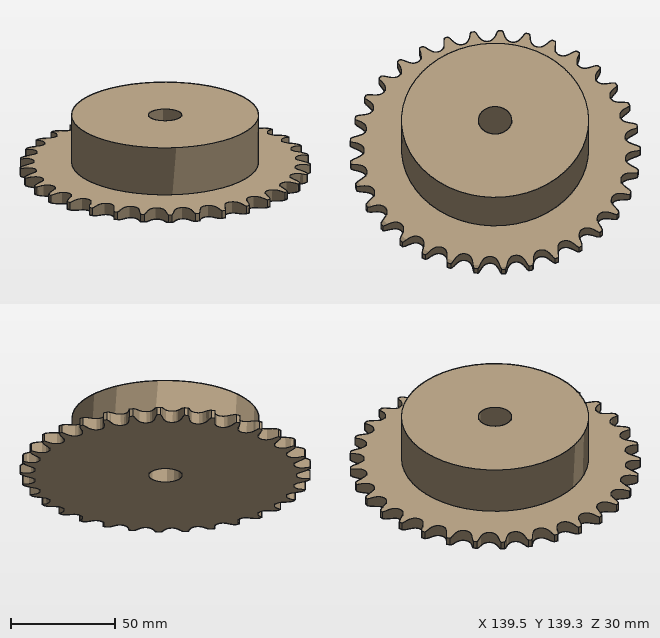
import cadquery as cq
import math

TOOTH_COUNT = 33
CHAIN_PITCH = 12.7
ROLLER_DIAMETER = 7.7
SEAT_CLEARANCE = 0.04
OVERALL_WIDTH = 139.5
TIP_WIDTH = 1.8
PLATE_THICKNESS = 5.9
FLAT_FACE_RADIUS = 64.2
SIDE_RELIEF = 1.0
TOTAL_HEIGHT = 30.0
HUB_DIAMETER = 90.0
BORE_DIAMETER = 16.0
FIRST_GAP_ANGLE = 90

WORKING_CENTRE_RATIO = 0.8
TOPPING_CENTRE_RATIO = 1.4
SEAT_ANGLE = math.radians(35 + 60 / TOOTH_COUNT)
WORKING_SWEEP = math.radians(18 - 56 / TOOTH_COUNT)

HALF_TOOTH_ANGLE = math.pi / TOOTH_COUNT
TIP_CORNER_ANGLE = HALF_TOOTH_ANGLE / 2 - TIP_WIDTH / OVERALL_WIDTH
TIP_RADIUS = OVERALL_WIDTH / 2 / math.cos(TIP_CORNER_ANGLE)
PITCH_RADIUS = CHAIN_PITCH / 2 / math.sin(HALF_TOOTH_ANGLE)
SEAT_RADIUS = ROLLER_DIAMETER / 2 + SEAT_CLEARANCE


def flank_point(centre, radius, angle):
    """Point on a curve around `centre`; `angle` turns from +Y towards the sprocket axis."""
    return (
        centre[0] - radius * math.sin(angle),
        centre[1] + radius * math.cos(angle),
    )


def mirrored(point):
    return (point[0], -point[1])


def relieved_blank():
    """Disc whose rim is thinned on both faces by arcs tangent to the flat faces."""
    relief_width = TIP_RADIUS - FLAT_FACE_RADIUS
    arc_radius = (relief_width**2 + SIDE_RELIEF**2) / (2 * SIDE_RELIEF)
    half_sweep = math.asin(relief_width / arc_radius) / 2
    mid_radius = FLAT_FACE_RADIUS + arc_radius * math.sin(half_sweep)
    mid_drop = arc_radius * (1 - math.cos(half_sweep))
    return (
        cq.Workplane("XZ")
        .lineTo(FLAT_FACE_RADIUS, 0)
        .threePointArc((mid_radius, mid_drop), (TIP_RADIUS, SIDE_RELIEF))
        .lineTo(TIP_RADIUS, PLATE_THICKNESS - SIDE_RELIEF)
        .threePointArc(
            (mid_radius, PLATE_THICKNESS - mid_drop),
            (FLAT_FACE_RADIUS, PLATE_THICKNESS),
        )
        .lineTo(0, PLATE_THICKNESS)
        .close()
        .revolve(360, (0, 0, 0), (0, 1, 0))
    )


def tooth_gap():
    """Cutter for the gap on the +X axis: seat, working curves, short flats, topping curves."""
    roller_centre = (PITCH_RADIUS, 0)
    flat_angle = SEAT_ANGLE - WORKING_SWEEP

    seat_bottom = (PITCH_RADIUS - SEAT_RADIUS, 0)
    seat_end = flank_point(roller_centre, SEAT_RADIUS, SEAT_ANGLE)

    working_offset = WORKING_CENTRE_RATIO * ROLLER_DIAMETER
    working_centre = flank_point(roller_centre, -working_offset, SEAT_ANGLE)
    working_radius = working_offset + SEAT_RADIUS
    working_mid = flank_point(working_centre, working_radius, SEAT_ANGLE - WORKING_SWEEP / 2)
    working_end = flank_point(working_centre, working_radius, flat_angle)

    topping_offset = TOPPING_CENTRE_RATIO * ROLLER_DIAMETER
    topping_centre = flank_point(roller_centre, topping_offset, HALF_TOOTH_ANGLE)
    topping_radius = (
        (working_end[0] - topping_centre[0]) * math.sin(flat_angle)
        + (topping_centre[1] - working_end[1]) * math.cos(flat_angle)
    )
    topping_start = flank_point(topping_centre, -topping_radius, flat_angle)

    point_height = math.sqrt(topping_radius**2 - (topping_offset - CHAIN_PITCH / 2) ** 2)
    point_radius = PITCH_RADIUS * math.cos(HALF_TOOTH_ANGLE) + point_height
    topping_end = (
        point_radius * math.cos(HALF_TOOTH_ANGLE),
        point_radius * math.sin(HALF_TOOTH_ANGLE),
    )
    end_angle = math.atan2(topping_end[0] - topping_centre[0], topping_centre[1] - topping_end[1])
    topping_mid = flank_point(topping_centre, -topping_radius, (flat_angle + end_angle) / 2)

    return (
        cq.Workplane("XY")
        .moveTo(*mirrored(topping_end))
        .threePointArc(mirrored(topping_mid), mirrored(topping_start))
        .lineTo(*mirrored(working_end))
        .threePointArc(mirrored(working_mid), mirrored(seat_end))
        .threePointArc(seat_bottom, seat_end)
        .threePointArc(working_mid, working_end)
        .lineTo(*topping_start)
        .threePointArc(topping_mid, topping_end)
        .close()
        .extrude(PLATE_THICKNESS)
    )


def toothed_plate():
    plate = relieved_blank()
    gap = tooth_gap()
    for index in range(TOOTH_COUNT):
        angle = FIRST_GAP_ANGLE + index * 360 / TOOTH_COUNT
        plate = plate.cut(gap.rotate((0, 0, 0), (0, 0, 1), angle))
    return plate


hub = cq.Workplane("XY").circle(HUB_DIAMETER / 2).extrude(TOTAL_HEIGHT)
bore = cq.Workplane("XY").circle(BORE_DIAMETER / 2).extrude(TOTAL_HEIGHT)
result = toothed_plate().union(hub).cut(bore)